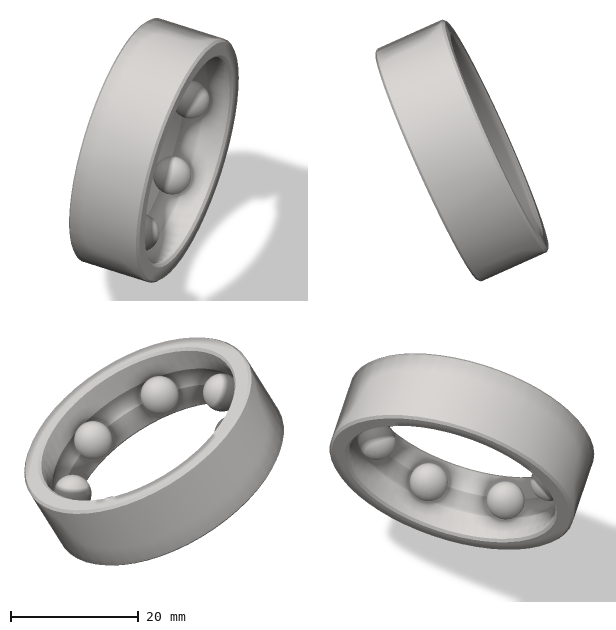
import cadquery as cq
import math

ring_diameter = 40.0
bore_diameter = 34.0
ring_width = 12.0
edge_chamfer = 0.4

ball_count = 7
ball_diameter = 6.0
pitch_radius = 14.55
first_ball_angle = 3.8

ball_radius = ball_diameter / 2
ball_spacing = 360 / ball_count


def make_race_groove():
    """Torus swept by the ball profile around the ring axis."""
    return (
        cq.Workplane("XY")
        .center(0, pitch_radius)
        .circle(ball_radius)
        .revolve(360, (0, -pitch_radius), (1, -pitch_radius))
    )


def make_outer_ring():
    """Plain ring with chamfered rims and a round groove for the balls."""
    blank = (
        cq.Workplane("YZ", origin=(-ring_width / 2, 0, 0))
        .circle(ring_diameter / 2)
        .circle(bore_diameter / 2)
        .extrude(ring_width)
        .faces("<X or >X")
        .edges()
        .chamfer(edge_chamfer)
    )
    return blank.cut(make_race_groove())


def make_ball(angle):
    """Ball on the pitch circle, at an angle in degrees from +Z toward -Y."""
    y = -pitch_radius * math.sin(math.radians(angle))
    z = pitch_radius * math.cos(math.radians(angle))
    return cq.Workplane("XY").sphere(ball_radius).translate((0, y, z))


outer_ring = make_outer_ring()
balls = [make_ball(first_ball_angle + i * ball_spacing) for i in range(ball_count)]

result = cq.Compound.makeCompound([outer_ring.solids().val(), *[ball.val() for ball in balls]])